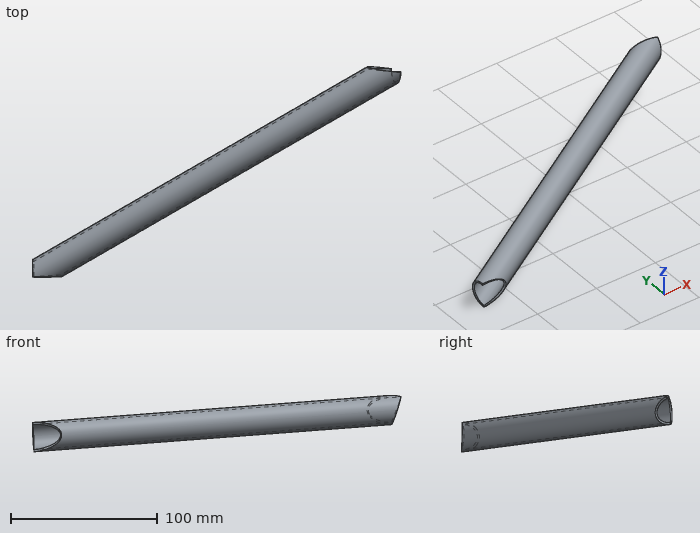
import cadquery as cq

outer_radius = 10.0
wall = 1.5
axis_start = cq.Vector(0.0, 0.8, 10.0)
axis_direction = cq.Vector(251.5, 145.0, 19.0)
overrun = 50.3
cutter_size = 151.0

start_ridge_top = cq.Vector(0.0, 0.5, 20.0)
start_ridge_bottom = cq.Vector(1.0, 0.0, 0.0)
start_back_point = cq.Vector(0.0, 12.0, 10.0)
start_front_point = cq.Vector(21.0, 0.5, 10.5)

end_ridge_top = cq.Vector(251.4, 140.0, 37.5)
end_ridge_bottom = cq.Vector(244.8, 142.7, 18.5)
end_back_point = cq.Vector(230.2, 143.7, 27.7)
end_front_point = cq.Vector(248.9, 132.9, 28.2)


def make_half_rod(side):
    """Solid half rod, above (side = 1) or below (side = -1) the sloping middle plane of the tube."""
    direction = axis_direction.normalized()
    across = direction.cross(cq.Vector(0, 0, 1))
    base = cq.Plane(origin=axis_start - direction * overrun, xDir=across, normal=direction)
    profile = (
        cq.Workplane(base)
        .moveTo(outer_radius, 0)
        .threePointArc((0, -side * outer_radius), (-outer_radius, 0))
        .close()
    )
    return profile.extrude(axis_direction.Length + 2 * overrun)


def mitre_cutter(ridge_top, ridge_bottom, side_point, outward):
    """Block filling the outward side of the plane through three points."""
    normal = (ridge_bottom - ridge_top).cross(side_point - ridge_top).normalized()
    if normal.dot(outward) < 0:
        normal = normal * -1
    plane = cq.Plane(origin=ridge_top, normal=normal)
    return cq.Workplane(plane).rect(cutter_size, cutter_size).extrude(cutter_size)


def make_half_tube(side):
    """Mitre a half rod, then thicken its round skin inward so the rims stay square to the skin."""
    half = make_half_rod(side)
    for side_point in (start_back_point, start_front_point):
        half = half.cut(mitre_cutter(start_ridge_top, start_ridge_bottom, side_point, axis_direction * -1))
    for side_point in (end_back_point, end_front_point):
        half = half.cut(mitre_cutter(end_ridge_top, end_ridge_bottom, side_point, axis_direction))
    skin = half.faces("%CYLINDER").val()
    return cq.Workplane(skin.thicken(-wall))


result = make_half_tube(1).union(make_half_tube(-1), clean=False)